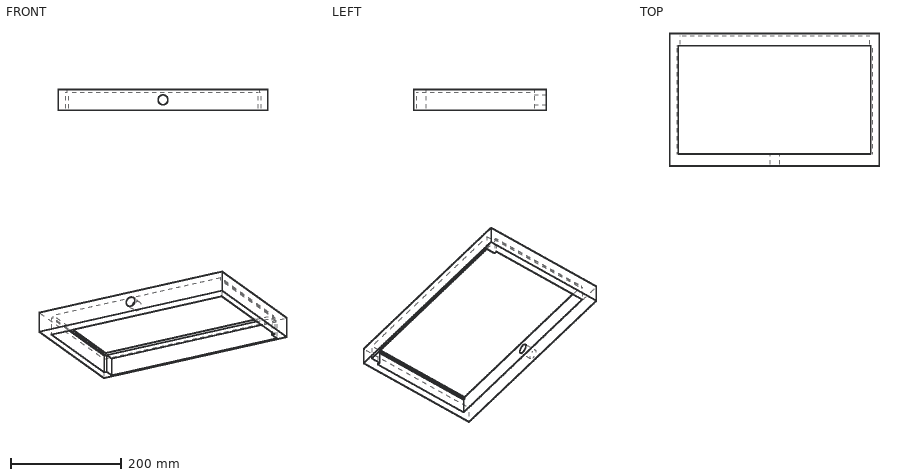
import cadquery as cq

length = 381.0
width = 241.0
height = 38.0

end_rim = 16.0
side_rim = 22.5
lip_thickness = 5.0

back_wall = 4.5
end_undercut = 2.5
post_overhang = 2.5

hole_diameter = 18.0

opening_length = length - 2 * end_rim
opening_width = width - 2 * side_rim
undercut_height = height - lip_thickness


def block(x_size, y_size, z_size):
    """Box centred in X and Y, standing on Z = 0."""
    return cq.Workplane("XY").box(x_size, y_size, z_size, centered=(True, True, False))


def make_frame():
    opening = block(opening_length, opening_width, height)
    return block(length, width, height).cut(opening)


def make_back_undercut():
    depth = side_rim - back_wall
    pocket = block(opening_length - 2 * post_overhang, depth, undercut_height)
    return pocket.translate((0, opening_width / 2 + depth / 2, 0))


def make_end_undercuts():
    return block(opening_length + 2 * end_undercut, opening_width, undercut_height)


def make_front_hole():
    return (
        cq.Workplane("XZ", origin=(0, -width / 2, height / 2))
        .circle(hole_diameter / 2)
        .extrude(-side_rim)
    )


result = (
    make_frame()
    .cut(make_back_undercut())
    .cut(make_end_undercuts())
    .cut(make_front_hole())
)